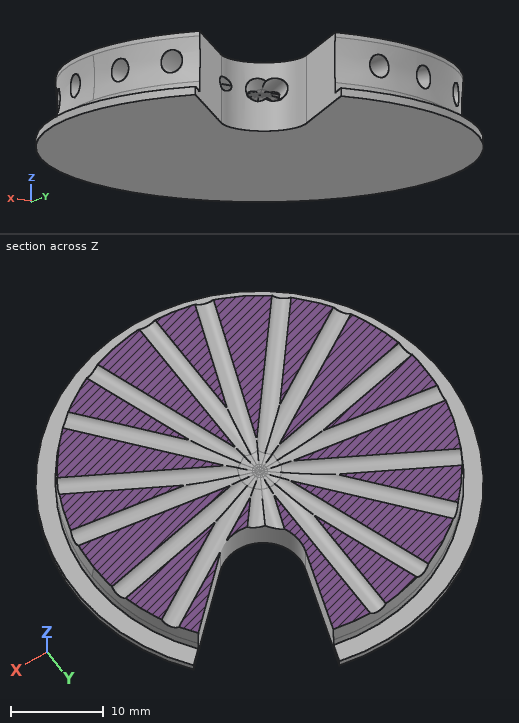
import cadquery as cq
import math

height = 7.62
flange_radius = 24.13
flange_thickness = 0.9
drum_radius = 22.0

band_bottom = 2.05
band_top = 7.1
band_depth = 0.2
band_middle = (band_bottom + band_top) / 2

bore_count = 9
bore_diameter = 2.54
bore_offset = 0.4
bore_pitch = 360 / bore_count

notch_radius = 4.75
notch_center_distance = 11.85
notch_direction = 57.05
notch_half_angle = 15.0
notch_reach = 2 * flange_radius


def make_body():
    """Flange and drum revolved together, with the concave band in the drum wall."""
    return (
        cq.Workplane("XZ")
        .moveTo(0, 0)
        .lineTo(flange_radius, 0)
        .lineTo(flange_radius, flange_thickness)
        .lineTo(drum_radius, flange_thickness)
        .lineTo(drum_radius, band_bottom)
        .threePointArc((drum_radius - band_depth, band_middle), (drum_radius, band_top))
        .lineTo(drum_radius, height)
        .lineTo(0, height)
        .close()
        .revolve(360, (0, 0, 0), (0, 1, 0))
    )


def make_bore(angle):
    """One bore across the whole drum, parallel to Y before it is turned by the angle."""
    return (
        cq.Workplane("XZ")
        .center(-bore_offset, band_middle)
        .circle(bore_diameter / 2)
        .extrude(flange_radius, both=True)
        .rotate((0, 0, 0), (0, 0, 1), angle)
    )


def make_notch():
    """Round-bottomed notch whose flanks leave the arc tangentially and spread outward."""
    half_angle = math.radians(notch_half_angle)
    tangent_x = notch_center_distance - notch_radius * math.sin(half_angle)
    tangent_y = notch_radius * math.cos(half_angle)
    end_x = tangent_x + notch_reach * math.cos(half_angle)
    end_y = tangent_y + notch_reach * math.sin(half_angle)
    return (
        cq.Workplane("XY")
        .moveTo(end_x, -end_y)
        .lineTo(tangent_x, -tangent_y)
        .threePointArc((notch_center_distance - notch_radius, 0), (tangent_x, tangent_y))
        .lineTo(end_x, end_y)
        .close()
        .extrude(height)
        .rotate((0, 0, 0), (0, 0, 1), notch_direction)
    )


result = make_body()
for index in range(bore_count):
    result = result.cut(make_bore(index * bore_pitch))
result = result.cut(make_notch())